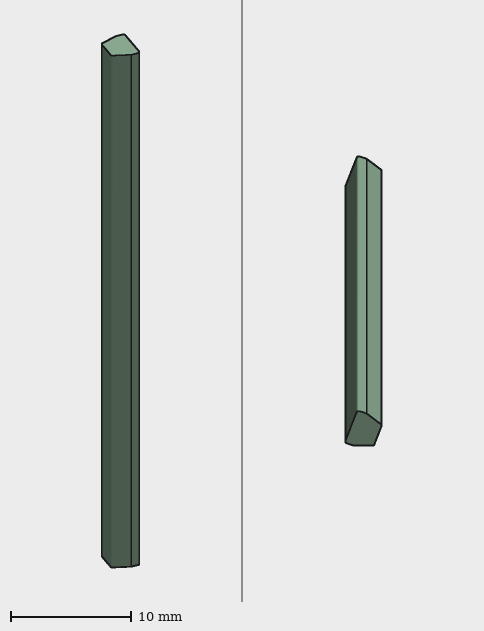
import cadquery as cq
import math

length = 50.8
width = 3.15
depth = 2.4
straight_flank = 0.8
taper_angle = 20.0
back_radius = 0.2
front_radius = 0.15

half_width = width / 2
half_depth = depth / 2
shoulder_y = half_depth - straight_flank
taper_inset = (depth - straight_flank) * math.tan(math.radians(taper_angle))
front_half_width = half_width - taper_inset

profile = [
    (-half_width, half_depth),
    (half_width, half_depth),
    (half_width, shoulder_y),
    (front_half_width, -half_depth),
    (-front_half_width, -half_depth),
    (-half_width, shoulder_y),
]
bar = cq.Workplane("XY").polyline(profile).close().extrude(length)

bar = bar.faces(">Y").edges("|Z").fillet(back_radius)
result = bar.faces("<Y").edges("|Z").fillet(front_radius)